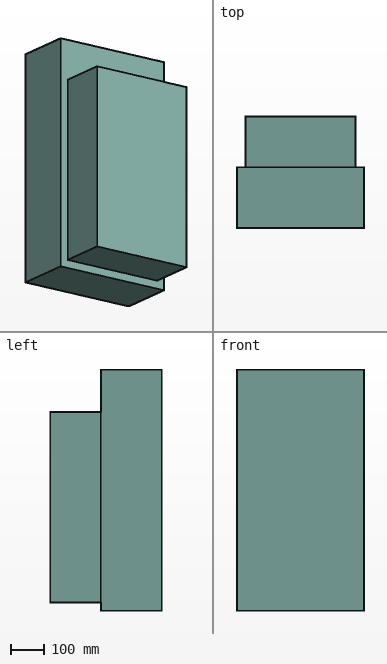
import cadquery as cq

width = 381.0
height = 723.9
total_depth = 335.28

rear_depth = 152.4
margin = 25.4
top_drop = 127.0

front_depth = total_depth - rear_depth
rear_width = width - 2 * margin
rear_height = height - margin - top_drop


def front_cabinet():
    """Main box, centred on X, with its front face at Y = 0 and its base at Z = 0."""
    return cq.Workplane("XY").box(width, front_depth, height, centered=(True, False, False))


def rear_box():
    """Smaller box that starts at the back face of the cabinet."""
    return (
        cq.Workplane("XY")
        .box(rear_width, rear_depth, rear_height, centered=(True, False, False))
        .translate((0, front_depth, margin))
    )


result = front_cabinet().union(rear_box())